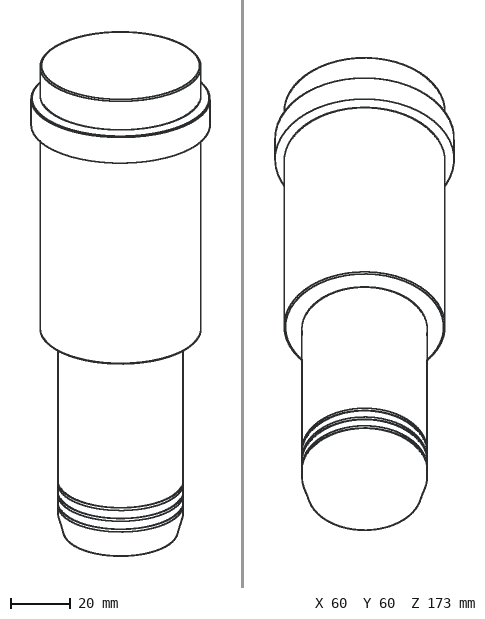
import cadquery as cq

total_height = 173.0
collar_diameter = 60.0
body_diameter = 54.0
pin_diameter = 42.0

collar_top = 160.9
collar_bottom = 151.0
body_bottom = 74.9

body_chamfer = 0.5
collar_chamfer = 0.3
tip_diameter = 38.2
taper_height = 7.0
tip_fillet = 0.7

groove_radius = 0.5
groove_count = 3
groove_pitch = 4.0
lowest_groove_height = 10.5
collar_relief_radius = 0.5
pin_relief_radius = 0.43


def cylinder(diameter, bottom, top):
    """Solid cylinder on the Z axis between two heights."""
    return cq.Workplane("XY").workplane(offset=bottom).circle(diameter / 2).extrude(top - bottom)


def round_groove(diameter, height, radius):
    """Ring that cuts a half-round groove into a cylinder of the given diameter."""
    surface = diameter / 2
    return (
        cq.Workplane("XZ")
        .moveTo(surface, height - radius)
        .threePointArc((surface - radius, height), (surface, height + radius))
        .close()
        .revolve(360, (0, 0, 0), (0, 1, 0))
    )


def make_pin():
    """Straight pin with a tapered tip and a small rounded edge around its end face."""
    tip = (
        cq.Workplane("XZ")
        .lineTo(tip_diameter / 2, 0)
        .lineTo(pin_diameter / 2, taper_height)
        .lineTo(0, taper_height)
        .close()
        .revolve(360, (0, 0, 0), (0, 1, 0))
        .faces("<Z")
        .fillet(tip_fillet)
    )
    return tip.union(cylinder(pin_diameter, taper_height, body_bottom))


body = cylinder(body_diameter, body_bottom, total_height).faces("<Z or >Z").chamfer(body_chamfer)
collar = cylinder(collar_diameter, collar_bottom, collar_top).faces(">Z").chamfer(collar_chamfer)
result = make_pin().union(body).union(collar)

result = result.cut(round_groove(body_diameter, collar_top + collar_relief_radius, collar_relief_radius))
result = result.cut(round_groove(body_diameter, collar_bottom - collar_relief_radius, collar_relief_radius))
result = result.cut(round_groove(pin_diameter, body_bottom - pin_relief_radius, pin_relief_radius))

for index in range(groove_count):
    height = lowest_groove_height + index * groove_pitch
    result = result.cut(round_groove(pin_diameter, height, groove_radius))